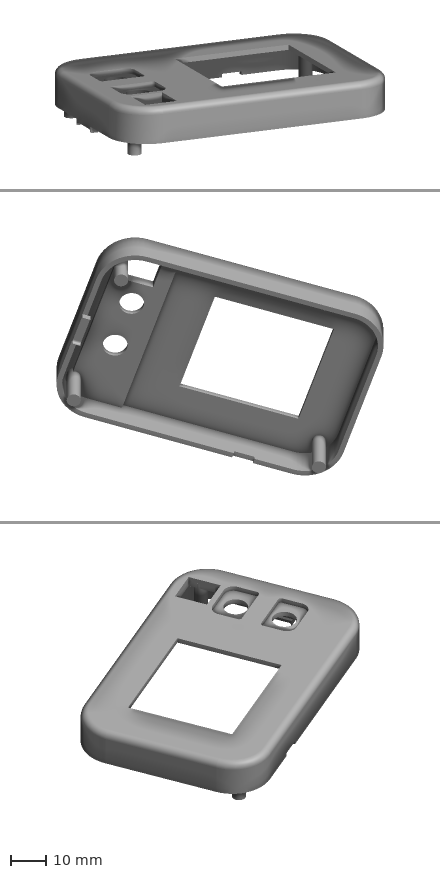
import cadquery as cq

WIDTH = 57.2
LENGTH = 84.7
HEIGHT = 10.6
CORNER_RADIUS = 11.5
TOP_FILLET = 2.0
WALL = 1.5
SKIN = 1.5

WINDOW_WIDTH = 32.0
WINDOW_LENGTH = 35.4
WINDOW_Y = 10.9

BUTTON_Y = -28.7
BUTTON_HOLE_X = 7.45
BUTTON_HOLE_DIAMETER = 7.0
RECESS_INNER_X = 3.0
RECESS_OUTER_X = 12.9
RECESS_LENGTH = 13.9
RECESS_DEPTH = 1.5
RECESS_INNER_RADIUS = 0.89
RECESS_OUTER_RADIUS = 3.0
DECK_THICKNESS = RECESS_DEPTH + SKIN
DECK_MARGIN = 1.5

SQUARE_SIDE = 9.8
SQUARE_X = 19.5
SQUARE_Y = -29.6

PIN_DIAMETER = 4.0
PIN_DROP = 4.2
PIN_X = 21.4
PIN_Y = 36.4
PIN_CORNERS = [(-PIN_X, -PIN_Y), (PIN_X, -PIN_Y), (-PIN_X, PIN_Y)]

LIP_X = -0.2
LIP_WIDTH = 9.3
LIP_DROP = 1.9
LIP_DEPTH = 2.45
LIP_TIP = 0.1
LIP_ARCH_Z = -0.85
LIP_ARCH_RADIUS = 0.8

NOTCH_Y = 16.1
NOTCH_LENGTH = 6.2
NOTCH_HEIGHT = 1.0


def box(width, length, height, x, y, z):
    """Box centred on (x, y) that rises from z."""
    return cq.Workplane("XY").box(width, length, height, centered=(True, True, False)).translate((x, y, z))


def make_cavity():
    cavity = box(WIDTH - 2 * WALL, LENGTH - 2 * WALL, HEIGHT - SKIN, 0, 0, 0)
    return cavity.edges("|Z").fillet(CORNER_RADIUS - WALL)


def make_shell(cavity):
    body = box(WIDTH, LENGTH, HEIGHT, 0, 0, 0).edges("|Z").fillet(CORNER_RADIUS)
    return body.faces(">Z").edges().fillet(TOP_FILLET).cut(cavity)


def make_deck(cavity):
    """Thickened strip of the top, trimmed to the cavity."""
    deck_length = RECESS_LENGTH + 2 * DECK_MARGIN
    deck = box(WIDTH, deck_length, DECK_THICKNESS, 0, BUTTON_Y, HEIGHT - DECK_THICKNESS)
    return deck.intersect(cavity)


def make_button_cut():
    """Recess and through hole of the button on the +X side."""
    recess = box(
        RECESS_OUTER_X - RECESS_INNER_X,
        RECESS_LENGTH,
        RECESS_DEPTH,
        (RECESS_INNER_X + RECESS_OUTER_X) / 2,
        BUTTON_Y,
        HEIGHT - RECESS_DEPTH,
    )
    recess = recess.edges("|Z and <X").fillet(RECESS_INNER_RADIUS)
    recess = recess.edges("|Z and >X").fillet(RECESS_OUTER_RADIUS)
    hole = cq.Workplane("XY").center(BUTTON_HOLE_X, BUTTON_Y).circle(BUTTON_HOLE_DIAMETER / 2).extrude(HEIGHT)
    return recess.union(hole)


def make_pins():
    """Pins in three corners, hanging from the skin to below the rim."""
    pins = cq.Workplane("XY").workplane(offset=-PIN_DROP)
    pins = pins.pushPoints(PIN_CORNERS)
    return pins.circle(PIN_DIAMETER / 2).extrude(PIN_DROP + HEIGHT - SKIN)


def make_lip():
    """Lip arched from below, leaving a thin tip at each end."""
    lip_y = (LIP_DEPTH - LENGTH) / 2
    lip = box(LIP_WIDTH, LIP_DEPTH, LIP_DROP, LIP_X, lip_y, -LIP_DROP)
    arch_width = LIP_WIDTH - 2 * LIP_TIP
    arch = box(arch_width, LIP_DEPTH, LIP_DROP + LIP_ARCH_Z, LIP_X, lip_y, -LIP_DROP)
    arch = arch.edges("|Y and >Z").fillet(LIP_ARCH_RADIUS)
    return lip.cut(arch)


cavity = make_cavity()
window = box(WINDOW_WIDTH, WINDOW_LENGTH, HEIGHT, 0, WINDOW_Y, 0)
square_opening = box(SQUARE_SIDE, SQUARE_SIDE, HEIGHT, SQUARE_X, SQUARE_Y, 0)
notch = box(WALL, NOTCH_LENGTH, NOTCH_HEIGHT, (WALL - WIDTH) / 2, NOTCH_Y, 0)
button_cut = make_button_cut()

result = make_shell(cavity).union(make_deck(cavity))
for opening in (window, square_opening, notch, button_cut, button_cut.mirror("YZ")):
    result = result.cut(opening)
result = result.union(make_pins()).union(make_lip())